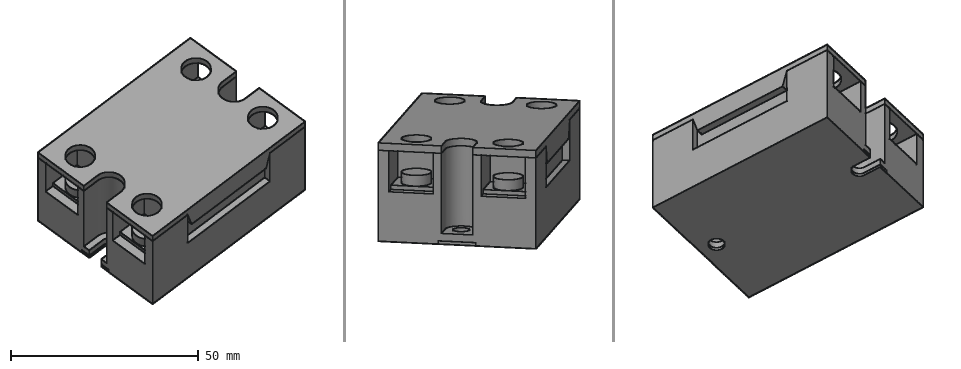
import cadquery as cq

LENGTH = 58.0
WIDTH = 43.0
HEIGHT = 27.0
LID_THICKNESS = 2.05
HOUSING_HEIGHT = HEIGHT - LID_THICKNESS

MOUNT_SPACING = 47.5
MOUNT_Y = MOUNT_SPACING / 2
MOUNT_INSET = LENGTH / 2 - MOUNT_Y
BOLT_DIAMETER = 4.5
HEAD_SLOT_WIDTH = 8.5
FLANGE_TOP_Z = 3.0

PAD_WIDTH = 10.2
PAD_HEIGHT = 0.9
PAD_SETBACK = 0.05
PAD_BORE = BOLT_DIAMETER - 0.05

POCKET_SPACING = 25.1
POCKET_WIDTH = 12.05
POCKET_LENGTH = 12.0
POCKET_FLOOR_Z = 13.75
CONTACT_THICKNESS = 1.15
CONTACT_TOP_Z = POCKET_FLOOR_Z + CONTACT_THICKNESS
CONTACT_SETBACK = 2.8
SCREW_DIAMETER = 8.0
SCREW_HOLE_DIAMETER = SCREW_DIAMETER
SCREW_SPACING_X = 25.0
SCREW_SPACING_Y = 44.0
SCREW_TOP_Z = 17.85

RECESS_LENGTH = 31.2
RECESS_DEPTH = 2.0
RECESS_FLOOR_Z = 13.8
TAB_TIP_LENGTH = 28.3
TAB_TIP_Z = 20.05

ENDS = (-1, 1)
SIDES = (-1, 1)


def block(x_size, y_size, x_mid, y_mid, z_low, z_high):
    """Box centred on (x_mid, y_mid) between two heights."""
    base = cq.Workplane("XY", origin=(x_mid, y_mid, z_low))
    return base.rect(x_size, y_size).extrude(z_high - z_low)


def cylinder(diameter, x_mid, y_mid, z_low, z_high):
    """Upright cylinder between two heights."""
    base = cq.Workplane("XY", origin=(x_mid, y_mid, z_low))
    return base.circle(diameter / 2).extrude(z_high - z_low)


def end_slot(width, end, z_low, z_high):
    """Round-ended slot from the mounting axis out through one end face."""
    slot_y = end * (MOUNT_Y + MOUNT_INSET / 2)
    straight = block(width, MOUNT_INSET, 0, slot_y, z_low, z_high)
    return straight.union(cylinder(width, 0, end * MOUNT_Y, z_low, z_high))


def cut_bolt_openings(housing, diameter, z_low, z_high):
    """Open slot at -Y and round hole at +Y over one height range."""
    housing = housing.cut(end_slot(diameter, -1, z_low, z_high))
    return housing.cut(cylinder(diameter, 0, MOUNT_Y, z_low, z_high))


def cut_mounts(housing):
    """Bolt-head slots, bolt openings and stepped foot pads at both ends."""
    pad_step_y = (LENGTH - PAD_SETBACK) / 2
    for end in ENDS:
        housing = housing.cut(end_slot(HEAD_SLOT_WIDTH, end, FLANGE_TOP_Z, HOUSING_HEIGHT))
        housing = housing.cut(block(PAD_WIDTH, PAD_SETBACK, 0, end * pad_step_y, 0, PAD_HEIGHT))
    housing = cut_bolt_openings(housing, BOLT_DIAMETER, PAD_HEIGHT, FLANGE_TOP_Z)
    return cut_bolt_openings(housing, PAD_BORE, 0, PAD_HEIGHT)


def add_terminal(housing, side, end):
    """Corner pocket, open at the end and top, with a contact plate and screw head."""
    pocket_x = side * POCKET_SPACING / 2
    pocket_y = end * (LENGTH - POCKET_LENGTH) / 2
    pocket = block(POCKET_WIDTH, POCKET_LENGTH, pocket_x, pocket_y, POCKET_FLOOR_Z, HOUSING_HEIGHT)

    contact_length = POCKET_LENGTH - CONTACT_SETBACK
    contact_y = pocket_y - end * CONTACT_SETBACK / 2
    contact = block(POCKET_WIDTH, contact_length, pocket_x, contact_y, POCKET_FLOOR_Z, CONTACT_TOP_Z)

    screw_x = side * SCREW_SPACING_X / 2
    screw_y = end * SCREW_SPACING_Y / 2
    screw = cylinder(SCREW_DIAMETER, screw_x, screw_y, CONTACT_TOP_Z, SCREW_TOP_Z)
    return housing.cut(pocket).union(contact).union(screw)


def make_housing():
    housing = cut_mounts(block(WIDTH, LENGTH, 0, 0, 0, HOUSING_HEIGHT))
    for side in SIDES:
        recess_x = side * (WIDTH - RECESS_DEPTH) / 2
        recess = block(RECESS_DEPTH, RECESS_LENGTH, recess_x, 0, RECESS_FLOOR_Z, HOUSING_HEIGHT)
        housing = housing.cut(recess)
        for end in ENDS:
            housing = add_terminal(housing, side, end)
    return housing


def latch_tab(side):
    """Tapered tab hanging from the lid, flush with the long side."""
    root = RECESS_LENGTH / 2
    tip = TAB_TIP_LENGTH / 2
    outline = [
        (-root, HOUSING_HEIGHT),
        (root, HOUSING_HEIGHT),
        (tip, TAB_TIP_Z),
        (-tip, TAB_TIP_Z),
    ]
    low_x = side * (WIDTH - RECESS_DEPTH) / 2 - RECESS_DEPTH / 2
    return cq.Workplane("YZ", origin=(low_x, 0, 0)).polyline(outline).close().extrude(RECESS_DEPTH)


def make_lid():
    lid = block(WIDTH, LENGTH, 0, 0, HOUSING_HEIGHT, HEIGHT)
    for end in ENDS:
        lid = lid.cut(end_slot(HEAD_SLOT_WIDTH, end, HOUSING_HEIGHT, HEIGHT))
        for side in SIDES:
            hole_x = side * SCREW_SPACING_X / 2
            hole_y = end * SCREW_SPACING_Y / 2
            lid = lid.cut(cylinder(SCREW_HOLE_DIAMETER, hole_x, hole_y, HOUSING_HEIGHT, HEIGHT))
    for side in SIDES:
        lid = lid.union(latch_tab(side))
    return lid.clean()


housing = make_housing()
lid = make_lid()
result = cq.Compound.makeCompound([housing.val(), lid.val()])